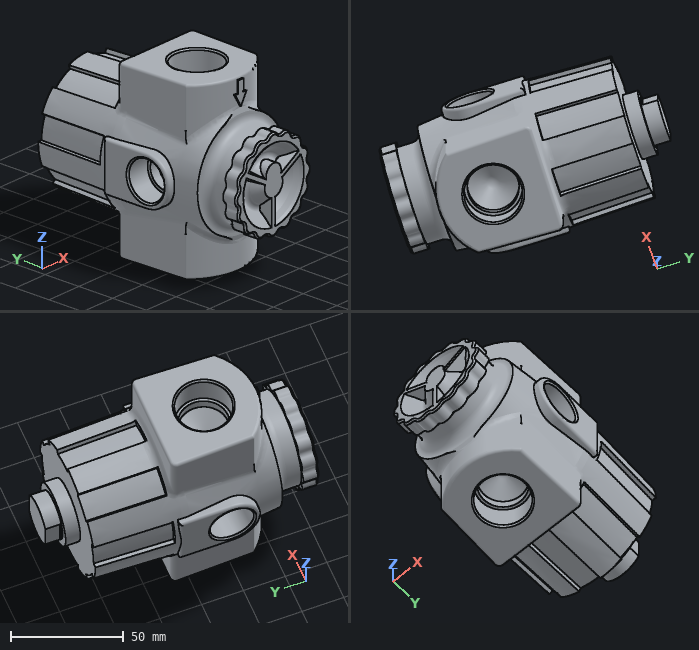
import cadquery as cq
import math


total_length = 125.2
body_width = 69.1
body_height = 95.0

stem_end_y = 79.7
knob_front_y = stem_end_y - total_length
knob_back_y = -37.7
bell_front_y = -26.0
bell_waist_y = 20.9
bell_back_y = 65.1
collar_end_y = 72.1

bell_front_radius = 29.2
bevel_outer_radius = 31.7
bell_waist_radius = 34.4
bell_back_radius = 33.0
bell_waist_blend = 26.3
neck_radius = 22.7
neck_fillet = 4.9

grip_count = 8
grip_pitch = 360 / grip_count
grip_angle = grip_pitch / 2
grip_depth = 2.3
grip_front_y = 27.3

block_back_y = 25.3
block_corner_y = -14.5
block_front_y = -25.3
block_back_half_width = 25.2
block_corner_half_width = 23.9
block_back_fillet = 2.6
block_corner_fillet = 0.6
block_rim_fillet = 1.6
block_root_fillet = 4.5
block_root_z = 25.0
seam_tolerance = 0.001

boss_radius = 13.6
boss_back_y = 25.2
boss_root_x = 18.8
boss_rim_fillet = 1.5

main_bore_depth = 14.0
gauge_bore_depth = 13.3
port_drill_depth = 18.8
main_bore_radius = 13.0
main_drill_radius = 11.5
gauge_bore_radius = 10.5
gauge_drill_radius = 8.9
port_chamfer = 0.9
drill_point_angle = 118

arrow_top_z = 45.6
arrow_neck_z = 39.0
arrow_tip_z = 32.5
arrow_shaft_half_width = 1.8
arrow_head_half_width = 3.8
arrow_front_y = bell_front_y

lobe_count = 16
lobe_radius = 25.2
valley_radius = 23.4
lobe_share = 2 / 3
knob_edge_chamfer = 0.9
bowl_rim_radius = 20.3
bowl_wall_radius = 19.2
bowl_wall_depth = 1.5
bowl_step_radius = 16.8
bowl_step_depth = 3.3
groove_outer_radius = 14.3
groove_inner_radius = 10.1
groove_outer_depth = 5.8
groove_inner_depth = 5.0
groove_depth = 6.5
hub_radius = 6.0
hub_base_radius = 7.4
hub_base_depth = 1.9
spoke_count = 3
spoke_face_width = 2.4
spoke_base_width = 4.3
tab_radius = 5.0
tab_top_z = 10.6

collar_radius = 15.0
stem_radius = 11.5
stem_flat_half_width = 9.7
stem_flat_start_y = 72.9


def revolve_about_y(profile):
    """Revolve a closed (radius, y) profile about the main axis."""
    return profile.close().revolve(360, (0, 0, 0), (0, 1, 0))


def polar(radius, degrees):
    """Point on a circle around the main axis, measured from +Z towards +X."""
    angle = math.radians(degrees)
    return (radius * math.sin(angle), radius * math.cos(angle))


def rear_cone_radius(y):
    taper = (bell_waist_radius - bell_back_radius) / (bell_back_y - bell_waist_y)
    return bell_waist_radius - taper * (y - bell_waist_y)


def xz_plane(y):
    """Plane across the main axis with +X right and +Z up; its normal points to -Y."""
    return cq.Workplane("XZ", origin=(0, y, 0))


def make_bell():
    """Solid of the two cones, the front one continued to the knob."""
    front_taper = (bell_waist_radius - bell_front_radius) / (bell_waist_y - bell_front_y)
    knob_end_radius = bell_waist_radius - front_taper * (bell_waist_y - knob_back_y)
    profile = (
        cq.Workplane("XY")
        .moveTo(0, bell_back_y)
        .lineTo(bell_back_radius, bell_back_y)
        .lineTo(bell_waist_radius, bell_waist_y)
        .lineTo(knob_end_radius, knob_back_y)
        .lineTo(0, knob_back_y)
    )
    bell = revolve_about_y(profile)
    waist_edge = bell.edges("%CIRCLE").edges(cq.selectors.RadiusNthSelector(-1))
    return waist_edge.fillet(bell_waist_blend)


def make_neck():
    """Cylinder that carries the knob, flared where it meets the bell."""
    profile = (
        cq.Workplane("XY")
        .moveTo(0, bell_front_y)
        .lineTo(neck_radius + neck_fillet, bell_front_y)
        .radiusArc((neck_radius, bell_front_y - neck_fillet), -neck_fillet)
        .lineTo(neck_radius, knob_back_y)
        .lineTo(0, knob_back_y)
    )
    return revolve_about_y(profile)


def make_port_block():
    block = (
        cq.Workplane("XY", origin=(0, 0, -body_height / 2))
        .moveTo(-block_back_half_width, block_back_y)
        .lineTo(block_back_half_width, block_back_y)
        .lineTo(block_corner_half_width, block_corner_y)
        .threePointArc((0, block_front_y), (-block_corner_half_width, block_corner_y))
        .close()
        .extrude(body_height)
    )
    return block.edges("|Z").edges(">Y").fillet(block_back_fillet)


def seam_edges(body, first, second):
    """Edges of the body along which the skins of two of its parts meet."""
    first_skin = first.val().Shells()[0]
    second_skin = second.val().Shells()[0]
    seam = []
    for edge in body.edges().vals():
        probe = cq.Vertex.makeVertex(*edge.positionAt(0.4).toTuple())
        if max(probe.distance(first_skin), probe.distance(second_skin)) < seam_tolerance:
            seam.append(edge)
    return seam


def make_front_trim():
    """Cutter in front of the bell and block, bevelled from the bell rim out to the block front."""
    profile = (
        cq.Workplane("XY")
        .moveTo(0, bell_front_y)
        .lineTo(bell_front_radius, bell_front_y)
        .lineTo(bevel_outer_radius, block_front_y)
        .lineTo(body_height, block_front_y)
        .lineTo(body_height, -total_length)
        .lineTo(0, -total_length)
    )
    return revolve_about_y(profile)


def make_block_edge_trim(block):
    """Slivers that round the rims and front corners of the two free ends of the block."""
    rounded = block.edges("|Z").edges("<Y").fillet(block_corner_fillet)
    rounded = rounded.faces("|Z").edges().fillet(block_rim_fillet)
    root_zone = cq.Workplane("XY").box(total_length, total_length, 2 * block_root_z)
    return block.cut(rounded).cut(root_zone)


def make_bell_with_block():
    """Bell and port block joined by a root fillet, trimmed at the front and at the block ends."""
    bell = make_bell()
    block = make_port_block()
    body = bell.union(block)
    body = body.newObject(seam_edges(body, bell, block)).fillet(block_root_fillet)
    return body.cut(make_front_trim()).cut(make_block_edge_trim(block))


def make_side_boss(side):
    boss = (
        cq.Workplane("YZ", origin=(side * boss_root_x, 0, 0))
        .moveTo(boss_back_y, boss_radius)
        .lineTo(0, boss_radius)
        .threePointArc((-boss_radius, 0), (0, -boss_radius))
        .lineTo(boss_back_y, -boss_radius)
        .close()
        .extrude(side * (body_width / 2 - boss_root_x))
    )
    outer_face = ">X" if side > 0 else "<X"
    return boss.faces(outer_face).edges().fillet(boss_rim_fillet)


def make_grip_recess(index):
    """Cutter for one sector of the rear cone, running out through its back face."""
    start = index * grip_pitch
    rim = bell_waist_radius + 2 * grip_depth
    inner_front = rear_cone_radius(grip_front_y) - grip_depth
    inner_back = rear_cone_radius(bell_back_y) - grip_depth
    return (
        cq.Workplane("XY")
        .moveTo(inner_front, grip_front_y)
        .lineTo(rim, grip_front_y)
        .lineTo(rim, bell_back_y)
        .lineTo(inner_back, bell_back_y)
        .close()
        .revolve(grip_angle, (0, 0, 0), (0, 1, 0))
        .rotate((0, 0, 0), (0, 1, 0), start - 90)
    )


def make_port(bore_radius, drill_radius, bore_depth):
    """Port cutter on the Z axis with its mouth at z = 0, drilled towards -Z."""
    point_depth = drill_radius / math.tan(math.radians(drill_point_angle / 2))
    return (
        cq.Workplane("XZ")
        .moveTo(0, 0)
        .lineTo(bore_radius + port_chamfer, 0)
        .lineTo(bore_radius, -port_chamfer)
        .lineTo(bore_radius, -bore_depth)
        .lineTo(drill_radius, -bore_depth)
        .lineTo(drill_radius, -port_drill_depth)
        .lineTo(0, -port_drill_depth - point_depth)
        .close()
        .revolve(360, (0, 0, 0), (0, 1, 0))
    )


def make_flow_arrow():
    return (
        xz_plane(arrow_front_y)
        .moveTo(0, arrow_tip_z)
        .lineTo(arrow_head_half_width, arrow_neck_z)
        .lineTo(arrow_shaft_half_width, arrow_neck_z)
        .lineTo(arrow_shaft_half_width, arrow_top_z)
        .lineTo(-arrow_shaft_half_width, arrow_top_z)
        .lineTo(-arrow_shaft_half_width, arrow_neck_z)
        .lineTo(-arrow_head_half_width, arrow_neck_z)
        .close()
        .extrude(-2 * (block_front_y - arrow_front_y))
    )


def make_housing():
    body = make_bell_with_block().union(make_neck())
    for side in (-1, 1):
        body = body.union(make_side_boss(side))
    for index in range(grip_count):
        body = body.cut(make_grip_recess(index))

    main_port = make_port(main_bore_radius, main_drill_radius, main_bore_depth)
    main_port = main_port.translate((0, 0, body_height / 2))
    gauge_port = make_port(gauge_bore_radius, gauge_drill_radius, gauge_bore_depth)
    gauge_port = gauge_port.translate((0, 0, body_width / 2))
    for turn in (0, 180):
        body = body.cut(main_port.rotate((0, 0, 0), (0, 1, 0), turn))
        body = body.cut(gauge_port.rotate((0, 0, 0), (0, 1, 0), turn + 90))
    return body.union(make_flow_arrow())


def make_knob_blank():
    """Disc with a wavy rim of alternating convex lobes and concave valleys."""
    pitch = 360 / lobe_count
    lobe_half_angle = lobe_share * pitch / 2
    blend_radius = lobe_radius - lobe_share * (lobe_radius - valley_radius)
    rim = xz_plane(knob_back_y).moveTo(*polar(blend_radius, -lobe_half_angle))
    for index in range(lobe_count):
        lobe = index * pitch
        lobe_end = polar(blend_radius, lobe + lobe_half_angle)
        next_lobe_start = polar(blend_radius, lobe + pitch - lobe_half_angle)
        rim = rim.threePointArc(polar(lobe_radius, lobe), lobe_end)
        rim = rim.threePointArc(polar(valley_radius, lobe + pitch / 2), next_lobe_start)
    blank = rim.close().extrude(knob_back_y - knob_front_y)
    return blank.faces("<Y").edges().chamfer(knob_edge_chamfer)


def make_knob_bowl():
    """Ring-shaped dish around the hub, with a round groove at its bottom."""
    face = knob_front_y
    groove_middle = (groove_outer_radius + groove_inner_radius) / 2
    profile = (
        cq.Workplane("XY")
        .moveTo(hub_radius, face)
        .lineTo(bowl_rim_radius, face)
        .lineTo(bowl_wall_radius, face + bowl_wall_depth)
        .lineTo(bowl_step_radius, face + bowl_step_depth)
        .lineTo(groove_outer_radius, face + groove_outer_depth)
        .threePointArc(
            (groove_middle, face + groove_depth), (groove_inner_radius, face + groove_inner_depth)
        )
        .lineTo(hub_base_radius, face + hub_base_depth)
    )
    return revolve_about_y(profile)


def make_spoke(turn):
    """Drafted spoke from the hub to the rim, wider at the bottom of the bowl."""
    return (
        cq.Workplane("XY")
        .moveTo(-spoke_face_width / 2, knob_front_y)
        .lineTo(spoke_face_width / 2, knob_front_y)
        .lineTo(spoke_base_width / 2, knob_front_y + groove_depth)
        .lineTo(-spoke_base_width / 2, knob_front_y + groove_depth)
        .close()
        .extrude(-lobe_radius)
        .rotate((0, 0, 0), (0, 1, 0), turn)
    )


def make_hub_tab():
    """Round-ended tab that widens the hub towards +Z."""
    tab_centre_z = tab_top_z - tab_radius
    return (
        xz_plane(knob_front_y)
        .moveTo(-tab_radius, 0)
        .lineTo(-tab_radius, tab_centre_z)
        .threePointArc((0, tab_top_z), (tab_radius, tab_centre_z))
        .lineTo(tab_radius, 0)
        .close()
        .extrude(-groove_depth)
    )


def make_knob():
    openings = make_knob_bowl().cut(make_hub_tab())
    for index in range(spoke_count):
        openings = openings.cut(make_spoke(index * 360 / spoke_count))
    return make_knob_blank().cut(openings)


def make_collar():
    return xz_plane(bell_back_y).circle(collar_radius).extrude(bell_back_y - collar_end_y)


def make_stem():
    stem = xz_plane(collar_end_y).circle(stem_radius).extrude(collar_end_y - stem_end_y)
    flat_length = stem_end_y - stem_flat_start_y
    flat_envelope = (
        xz_plane(stem_flat_start_y)
        .rect(2 * stem_flat_half_width, 2 * stem_radius)
        .extrude(-flat_length)
    )
    flat_section = xz_plane(stem_flat_start_y).circle(2 * stem_radius).extrude(-flat_length)
    return stem.cut(flat_section.cut(flat_envelope))


housing = make_housing()
knob = make_knob()
collar = make_collar()
stem = make_stem()

result = cq.Compound.makeCompound([housing.val(), knob.val(), collar.val(), stem.val()])